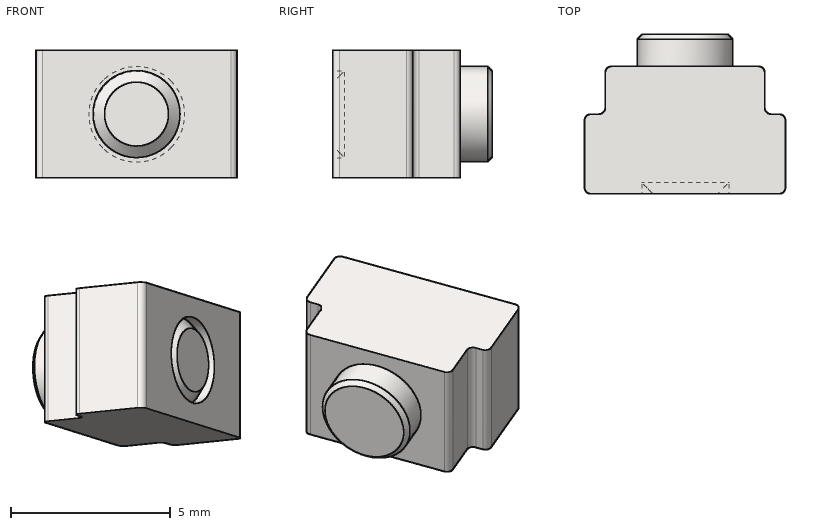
import cadquery as cq

base_width = 6.3
head_width = 5.0
body_depth = 4.0
base_depth = 2.5
height = 4.0
corner_radius = 0.2

boss_diameter = 3.0
boss_length = 1.0
boss_chamfer = 0.15

groove_diameter = 2.73
island_top_diameter = 2.005
groove_depth = (groove_diameter - island_top_diameter) / 2


def make_body():
    half_base = base_width / 2
    half_head = head_width / 2
    outline = [
        (-half_base, 0),
        (half_base, 0),
        (half_base, base_depth),
        (half_head, base_depth),
        (half_head, body_depth),
        (-half_head, body_depth),
        (-half_head, base_depth),
        (-half_base, base_depth),
    ]
    body = cq.Workplane("XY").workplane(offset=-height / 2).polyline(outline).close().extrude(height)
    return body.edges("|Z").fillet(corner_radius)


def make_boss():
    boss = cq.Workplane("XZ", origin=(0, body_depth, 0)).circle(boss_diameter / 2).extrude(-boss_length)
    return boss.faces(">Y").edges().chamfer(boss_chamfer)


def make_groove():
    hole = cq.Workplane("XZ").circle(groove_diameter / 2).extrude(-groove_depth)
    island = (
        cq.Workplane("XZ")
        .circle(island_top_diameter / 2)
        .workplane(offset=-groove_depth)
        .circle(groove_diameter / 2)
        .loft(ruled=True)
    )
    return hole.cut(island)


result = make_body().union(make_boss()).cut(make_groove())